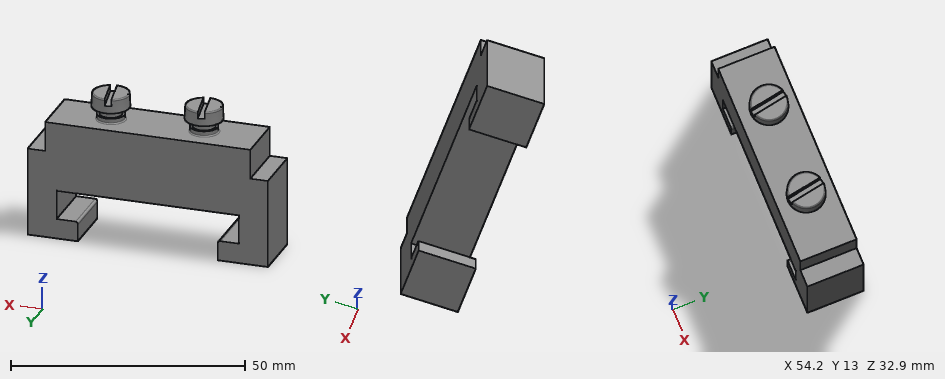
import cadquery as cq

length = 54.2
width = 13.0
total_height = 32.85
body_height = 26.8
shoulder_height = 20.05
shoulder_length = 3.95
channel_ceiling = 11.1
hook_height = 4.55
wall_thickness = 6.55
hook_length = 11.35
hook_radius = 0.55

screw_spacing = 21.05
collar_diameter = 6.05
collar_height = 1.15
neck_diameter = 5.0
head_height = 3.3
head_bottom_diameter = 8.45
head_top_diameter = 8.15
head_edge_radius = 0.25
collar_root_radius = 0.25
slot_width = 1.45
slot_depth = 1.5
slot_angle = 10.0


def centred_box(x_size, z_bottom, z_top):
    """Box across the full body width, centred in X and Y."""
    return (
        cq.Workplane("XY", origin=(0, 0, z_bottom))
        .rect(x_size, width)
        .extrude(z_top - z_bottom)
    )


def make_body():
    lower_block = centred_box(length, 0, shoulder_height)
    upper_block = centred_box(length - 2 * shoulder_length, shoulder_height, body_height)
    channel = centred_box(length - 2 * wall_thickness, hook_height, channel_ceiling)
    mouth_width = length - 2 * hook_length
    mouth = centred_box(mouth_width, 0, hook_height)
    body = lower_block.union(upper_block).cut(channel).cut(mouth)
    lip_edges = cq.selectors.BoxSelector(
        (-mouth_width / 2 - hook_radius, -width, hook_height - hook_radius),
        (mouth_width / 2 + hook_radius, width, hook_height + hook_radius),
    )
    return body.edges("|Y").edges(lip_edges).fillet(hook_radius)


def make_screw():
    """Screw with its axis on Z and its collar resting on the body top."""
    head_bottom = total_height - head_height
    collar_top = body_height + collar_height
    root_top = body_height + collar_root_radius
    collar_radius = collar_diameter / 2
    flare_radius = collar_radius + collar_root_radius
    collar = (
        cq.Workplane("XZ")
        .moveTo(0, body_height)
        .lineTo(flare_radius, body_height)
        .radiusArc((collar_radius, root_top), collar_root_radius)
        .lineTo(collar_radius, collar_top)
        .lineTo(0, collar_top)
        .close()
        .revolve(360, (0, 0, 0), (0, 1, 0))
    )
    neck = (
        cq.Workplane("XY", origin=(0, 0, collar_top))
        .circle(neck_diameter / 2)
        .extrude(head_bottom - collar_top)
    )
    head = (
        cq.Workplane("XZ")
        .moveTo(0, head_bottom)
        .lineTo(head_bottom_diameter / 2, head_bottom)
        .lineTo(head_top_diameter / 2, total_height)
        .lineTo(0, total_height)
        .close()
        .revolve(360, (0, 0, 0), (0, 1, 0))
        .faces("|Z")
        .edges()
        .fillet(head_edge_radius)
    )
    slot = (
        cq.Workplane("XY", origin=(0, 0, total_height - slot_depth))
        .rect(slot_width, 2 * head_bottom_diameter)
        .extrude(slot_depth)
        .rotate((0, 0, 0), (0, 0, 1), slot_angle)
    )
    return collar.union(neck).union(head.cut(slot))


result = make_body()
screw = make_screw()
for screw_x in (-screw_spacing / 2, screw_spacing / 2):
    result = result.union(screw.translate((screw_x, 0, 0)))